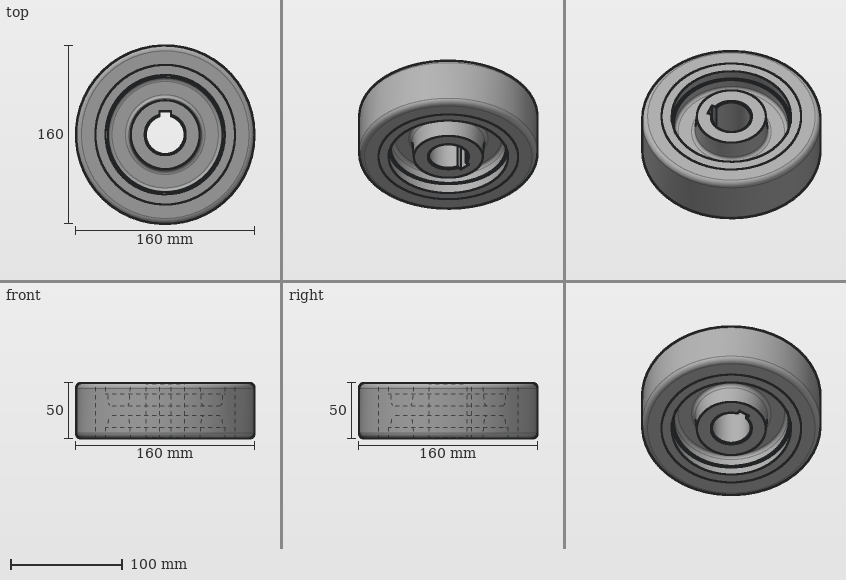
import cadquery as cq
import math

outer_radius = 80.0
width = 50.0
half_width = width / 2
tread_fillet = 5.0

rim_radius = 62.5
counterbore_radius = 53.5
counterbore_depth = 10.0
recess_radius = 51.5

web_thickness = 8.3
half_web = web_thickness / 2
hub_radius = 30.9
draft_angle = 5.0
root_fillet = 3.2

bore_radius = 17.5
bore_chamfer = 1.0
keyway_width = 10.0
keyway_height = 21.0

draft = math.tan(math.radians(draft_angle))


def disc(radius):
    """Full-width cylinder on the wheel axis, centred on the XY plane."""
    return cq.Workplane("XY").cylinder(width, radius)


def make_tyre():
    """Plain ring with rounded outer edges."""
    solid_disc = disc(outer_radius)
    rounded_disc = solid_disc.edges().fillet(tread_fillet)
    core_space = disc(rim_radius)
    return rounded_disc.cut(core_space)


def make_upper_recess():
    """Annular recess with drafted walls, rounded roots and a counterbored mouth."""
    ledge_height = half_width - counterbore_depth
    hub_foot_radius = hub_radius + (half_width - half_web) * draft
    recess_foot_radius = recess_radius - (ledge_height - half_web) * draft
    recess = (
        cq.Workplane("XZ")
        .moveTo(hub_foot_radius, half_web)
        .lineTo(recess_foot_radius, half_web)
        .lineTo(recess_radius, ledge_height)
        .lineTo(counterbore_radius, ledge_height)
        .lineTo(counterbore_radius, half_width)
        .lineTo(hub_radius, half_width)
        .close()
        .revolve(360, (0, 0, 0), (0, 1, 0))
    )
    return recess.faces("<Z").edges().fillet(root_fillet)


def make_wheel_core():
    """Rim, web and hub in one piece, alike on both sides of the web."""
    core = disc(rim_radius)
    upper_recess = make_upper_recess()
    core = core.cut(upper_recess).cut(upper_recess.mirror("XY"))

    bore = disc(bore_radius)
    core = core.cut(bore)
    bore_edges = cq.selectors.RadiusNthSelector(0)
    core = core.faces(">Z or <Z").edges(bore_edges).chamfer(bore_chamfer)

    keyway = (
        cq.Workplane("XY")
        .box(keyway_width, keyway_height, width)
        .translate((0, keyway_height / 2, 0))
    )
    return core.cut(keyway)


tyre = make_tyre()
wheel_core = make_wheel_core()
result = cq.Compound.makeCompound([tyre.val(), wheel_core.val()])